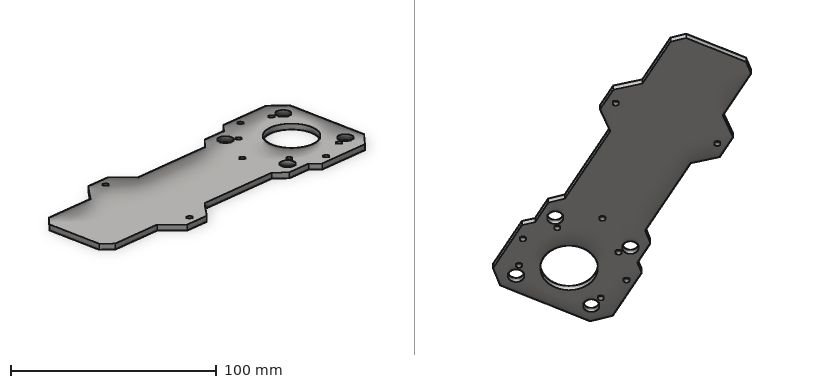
import cadquery as cq

length = 180.5
thickness = 3.2

wide_half = 65.5 / 2
shoulder_half = 28.0
body_half = 22.0

head_chamfer = 8.1
tail_chamfer = 5.6

head_end = length / 2
tail_end = -length / 2
head_side_bottom = 51.5
shoulder_top = 47.0
shoulder_bottom = 33.0
body_top = shoulder_bottom - (shoulder_half - body_half)

ear_center = -37.9
ear_side_half = 7.0
ear_root_half = 17.0

bore_diameter = 28.0
bore_y = 65.0
mount_diameter = 8.0
mount_x = 20.5
mount_ys = [81.2, 39.9]
small_diameter = 3.0
center_screw_y = 29.8
paired_screws = [
    (22.4, 74.7),
    (28.3, 59.0),
    (16.8, 45.1),
    (27.8, ear_center),
]


def mirrored(points):
    """Return the points together with their mirror images across X = 0."""
    return points + [(-x, y) for x, y in reversed(points)]


def drill(plate, points, diameter):
    """Cut round through holes at the given points."""
    cutters = cq.Workplane("XY").pushPoints(points).circle(diameter / 2).extrude(
        thickness, both=True
    )
    return plate.cut(cutters)


right_side = [
    (wide_half - head_chamfer, head_end),
    (wide_half, head_end - head_chamfer),
    (wide_half, head_side_bottom),
    (shoulder_half, shoulder_top),
    (shoulder_half, shoulder_bottom),
    (body_half, body_top),
    (body_half, ear_center + ear_root_half),
    (wide_half, ear_center + ear_side_half),
    (wide_half, ear_center - ear_side_half),
    (body_half, ear_center - ear_root_half),
    (body_half, tail_end + tail_chamfer),
    (body_half - tail_chamfer, tail_end),
]

plate = (
    cq.Workplane("XY")
    .polyline(mirrored(right_side))
    .close()
    .extrude(thickness / 2, both=True)
)

plate = drill(plate, [(0, bore_y)], bore_diameter)
plate = drill(plate, mirrored([(mount_x, y) for y in mount_ys]), mount_diameter)
plate = drill(plate, mirrored(paired_screws) + [(0, center_screw_y)], small_diameter)

result = plate